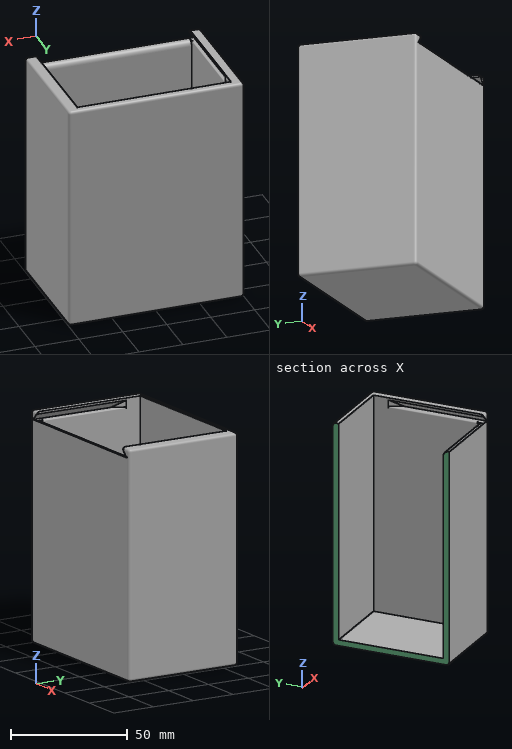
import cadquery as cq

width = 80.0
depth = 55.0
height = 103.0
edge_radius = 1.4

side_wall = 5.0
end_wall = 3.0
floor = 3.0

track_depth = 4.0
track_undercut = 3.0
track_taper = 6.0
track_end_gap = 7.0
lip_radius = 2.6
ledge_radius = 0.5

cavity_width = width - 2 * side_wall
cavity_depth = depth - 2 * end_wall


def make_box():
    """Solid block with every outer edge rounded."""
    block = cq.Workplane("XY").box(width, depth, height, centered=(True, True, False))
    return block.edges().fillet(edge_radius)


def make_cavity():
    """Rectangular pocket open at the top."""
    return (
        cq.Workplane("XY", origin=(0, 0, floor))
        .box(cavity_width, cavity_depth, height - floor, centered=(True, True, False))
    )


def make_lid_track():
    """Dovetail prism, wider at its base, whose undercuts run out to nothing at the closed end."""
    top_half = cavity_width / 2
    base_half = top_half + track_undercut
    base_z = height - track_depth
    front_y = -depth / 2
    end_y = cavity_depth / 2 - track_end_gap
    taper_y = end_y - track_taper
    prism = (
        cq.Workplane("XZ", origin=(0, front_y, 0))
        .polyline([
            (-base_half, base_z), (base_half, base_z), (top_half, base_z + track_undercut),
            (top_half, height), (-top_half, height), (-top_half, base_z + track_undercut),
        ])
        .close()
        .extrude(front_y - end_y)
    )
    plan = (
        cq.Workplane("XY", origin=(0, 0, base_z))
        .polyline([
            (-base_half, front_y), (base_half, front_y), (base_half, taper_y),
            (top_half, end_y), (-top_half, end_y), (-base_half, taper_y),
        ])
        .close()
        .extrude(track_depth)
    )
    return prism.intersect(plan)


def make_lip_round():
    """Cutter that rounds the inner top edge of the front wall."""
    arc_y = -cavity_depth / 2 - lip_radius
    arc_z = height - track_depth - lip_radius
    blank = (
        cq.Workplane("XY", origin=(0, arc_y, arc_z))
        .box(cavity_width, lip_radius, lip_radius, centered=(True, False, False))
    )
    rod = cq.Workplane("YZ", origin=(-cavity_width / 2, arc_y, arc_z)).circle(lip_radius).extrude(cavity_width)
    return blank.cut(rod)


def make_ledge_round(side):
    """Cutter that rounds the inner edge of one track ledge; side is -1 or 1."""
    front_y = -cavity_depth / 2
    end_y = cavity_depth / 2 - track_end_gap
    arc_x = side * (cavity_width / 2 + ledge_radius)
    arc_z = height - track_depth - ledge_radius
    length = end_y - front_y
    blank = (
        cq.Workplane("XY", origin=(arc_x - side * ledge_radius / 2, front_y, arc_z))
        .box(ledge_radius, length, ledge_radius, centered=(True, False, False))
    )
    rod = cq.Workplane("XZ", origin=(arc_x, front_y, arc_z)).circle(ledge_radius).extrude(-length)
    return blank.cut(rod)


result = make_box().cut(make_cavity()).cut(make_lid_track()).cut(make_lip_round())
for side in (-1, 1):
    result = result.cut(make_ledge_round(side))